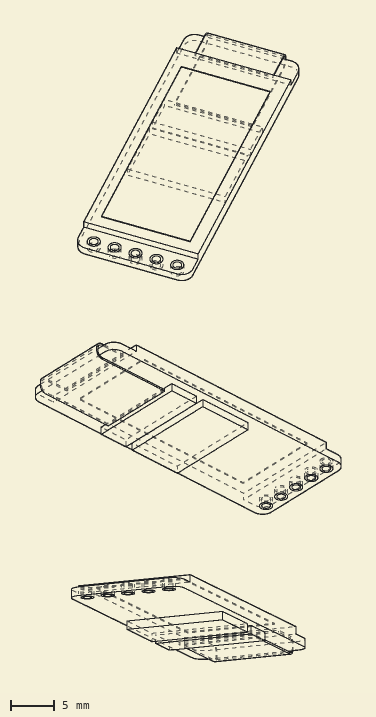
import cadquery as cq

BOARD_WIDTH = 14.0
BOARD_THICKNESS = 1.02
BOARD_CORNER_RADIUS = 1.35
OVERALL_LENGTH = 36.5
FRONT_Y = -OVERALL_LENGTH / 2
BACK_Y = OVERALL_LENGTH / 2
FOLD_OVERHANG = 0.5
BOARD_BACK_Y = BACK_Y - FOLD_OVERHANG

PANEL_THICKNESS = 0.88
PANEL_FRONT_Y = FRONT_Y + 3.03
PANEL_BACK_Y = BACK_Y - 4.1
PANEL_TOP_Z = BOARD_THICKNESS + PANEL_THICKNESS

SCREEN_WIDTH = 10.88
SCREEN_FRONT_Y = FRONT_Y + 4.55
SCREEN_BACK_Y = BACK_Y - 6.65
SCREEN_THICKNESS = 0.1

COMPONENT_WIDTH = 11.97
COMPONENT_HEIGHT = 1.0
CONNECTOR_BACK_Y = BACK_Y - 10.5
CONNECTOR_LENGTH = 3.8
COMPONENT_GAP = 1.0
CHIP_LENGTH = 6.97

FLEX_WIDTH = 9.55
FLEX_THICKNESS = 0.22
FLEX_TOP_Z = PANEL_TOP_Z - 0.22
FLEX_BOTTOM_Z = -0.45
FLEX_BEND_RADIUS = 0.8

PAD_COUNT = 5
PAD_PITCH = 2.55
PAD_OUTER_DIAMETER = 1.5
PAD_HOLE_DIAMETER = 1.0
PAD_Y = FRONT_Y + 1.3


def block(width, front_y, back_y, bottom_z, top_z):
    """Box centred on X between the given Y and Z limits."""
    return cq.Workplane("XY").box(
        width, back_y - front_y, top_z - bottom_z, centered=(True, False, False)
    ).translate((0, front_y, bottom_z))


def make_flex():
    """Strip bent into a U, joining the panel to the connector below."""
    outer = block(FLEX_WIDTH, CONNECTOR_BACK_Y, BACK_Y, FLEX_BOTTOM_Z, FLEX_TOP_Z)
    outer = outer.edges("|X and >Y").fillet(FLEX_BEND_RADIUS)
    inner = block(
        FLEX_WIDTH,
        CONNECTOR_BACK_Y,
        BACK_Y - FLEX_THICKNESS,
        FLEX_BOTTOM_Z + FLEX_THICKNESS,
        FLEX_TOP_Z - FLEX_THICKNESS,
    )
    inner = inner.edges("|X and >Y").fillet(FLEX_BEND_RADIUS - FLEX_THICKNESS)
    above_connector = block(FLEX_WIDTH, CONNECTOR_BACK_Y, PANEL_BACK_Y, 0, FLEX_TOP_Z)
    return outer.cut(inner).cut(above_connector)


def make_screen():
    """Thin plate filling the recess in the top of the panel."""
    return block(
        SCREEN_WIDTH, SCREEN_FRONT_Y, SCREEN_BACK_Y, PANEL_TOP_Z - SCREEN_THICKNESS, PANEL_TOP_Z
    )


def make_module(screen):
    """Board, panel, flex cable and underside components as one solid."""
    board = block(BOARD_WIDTH, FRONT_Y, BOARD_BACK_Y, 0, BOARD_THICKNESS)
    board = board.edges("|Z").fillet(BOARD_CORNER_RADIUS)
    panel = block(BOARD_WIDTH, PANEL_FRONT_Y, PANEL_BACK_Y, BOARD_THICKNESS, PANEL_TOP_Z)

    connector_front_y = CONNECTOR_BACK_Y - CONNECTOR_LENGTH
    chip_back_y = connector_front_y - COMPONENT_GAP
    connector = block(COMPONENT_WIDTH, connector_front_y, CONNECTOR_BACK_Y, -COMPONENT_HEIGHT, 0)
    chip = block(COMPONENT_WIDTH, chip_back_y - CHIP_LENGTH, chip_back_y, -COMPONENT_HEIGHT, 0)

    module = board.union(panel).union(make_flex()).union(connector).union(chip).clean()
    pad_holes = (
        cq.Workplane("XY")
        .center(0, PAD_Y)
        .rarray(PAD_PITCH, 0.35, PAD_COUNT, 1)
        .circle(PAD_OUTER_DIAMETER / 2)
        .extrude(BOARD_THICKNESS)
    )
    return module.cut(pad_holes).cut(screen)


def make_pad(x):
    """Plated sleeve through the board, flush with both faces."""
    return (
        cq.Workplane("XY")
        .center(x, PAD_Y)
        .circle(PAD_OUTER_DIAMETER / 2)
        .circle(PAD_HOLE_DIAMETER / 2)
        .extrude(BOARD_THICKNESS)
    )


screen = make_screen()
module = make_module(screen)
pads = [make_pad((i - (PAD_COUNT - 1) / 2) * PAD_PITCH) for i in range(PAD_COUNT)]

result = cq.Compound.makeCompound([module.val(), screen.val(), *[pad.val() for pad in pads]])